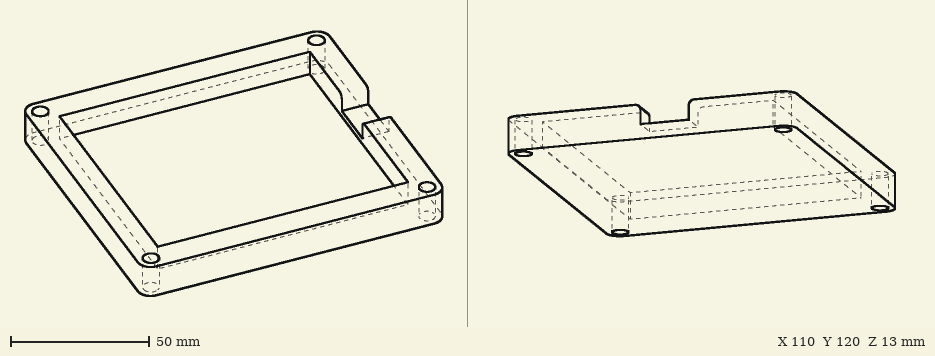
import cadquery as cq

width = 110.0
length = 120.0
height = 13.0
corner_radius = 5.0

pocket_width = 88.2
pocket_length = 99.0
pocket_depth = 10.0
pocket_floor = height - pocket_depth

hole_diameter = 6.0
hole_inset = 5.4

notch_width = 18.5
notch_center_x = -6.1
notch_sill = 2.5
notch_floor = pocket_floor + notch_sill
notch_edge_radius = 2.0


def make_body():
    """Plain slab with rounded vertical corners."""
    slab = cq.Workplane("XY").box(width, length, height, centered=(True, True, False))
    return slab.edges("|Z").fillet(corner_radius)


def make_pocket():
    """Sharp-cornered block that hollows out the tray."""
    return (
        cq.Workplane("XY")
        .workplane(offset=pocket_floor)
        .rect(pocket_width, pocket_length)
        .extrude(pocket_depth)
    )


def make_holes():
    """Four through holes on a rectangular pattern."""
    return (
        cq.Workplane("XY")
        .rect(width - 2 * hole_inset, length - 2 * hole_inset, forConstruction=True)
        .vertices()
        .circle(hole_diameter / 2)
        .extrude(height)
    )


def make_notch():
    """Notch profile flaring out in convex arcs at the top, run from the pocket out through +Y."""
    left = notch_center_x - notch_width / 2
    right = notch_center_x + notch_width / 2
    arc_start = height - notch_edge_radius
    return (
        cq.Workplane("XZ")
        .moveTo(left, notch_floor)
        .lineTo(right, notch_floor)
        .lineTo(right, arc_start)
        .radiusArc((right + notch_edge_radius, height), notch_edge_radius)
        .lineTo(left - notch_edge_radius, height)
        .radiusArc((left, arc_start), notch_edge_radius)
        .close()
        .extrude(-length / 2)
    )


result = make_body().cut(make_pocket()).cut(make_holes()).cut(make_notch())